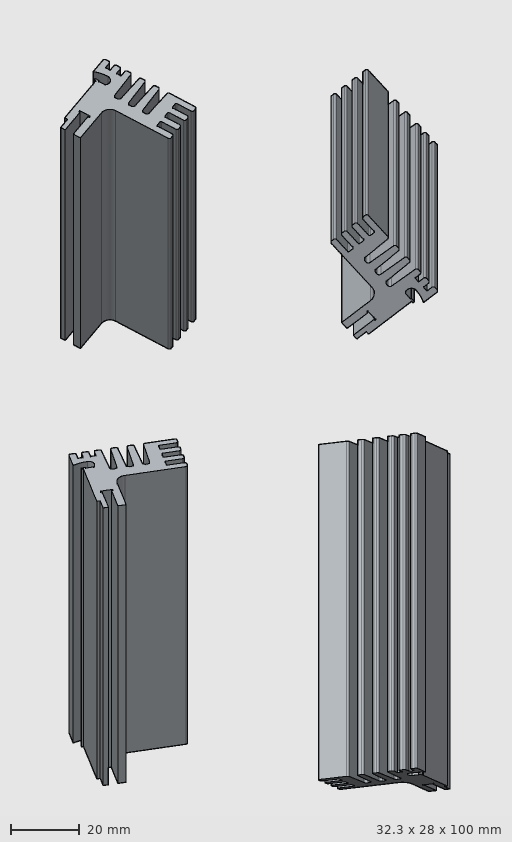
import cadquery as cq

length = 100.0
width = 32.3
depth = 28.0

fin_thickness = 2.0
side_slot_count = 3
arm_depth = (2 * side_slot_count + 1) * fin_thickness
leg_left = 2.5
leg_right = 10.4
inner_corner_radius = 3.0

hook_tip_y = -5.7
groove_roof_x = 4.5
groove_roof_y = -4.8
groove_floor_x = 5.6
groove_floor_y = -7.8
lip_x = 1.9
lip_top_y = -7.5
lip_bottom_y = -8.1
lip_width = 1.3


def level_arc_radius(run, drop):
    """Radius of an arc that starts level and falls by drop over run."""
    return (run**2 + drop**2) / (2 * drop)


groove_roof_radius = level_arc_radius(groove_roof_x, groove_roof_y - hook_tip_y)
groove_back_radius = level_arc_radius(groove_floor_x - groove_roof_x, groove_roof_y - groove_floor_y)

foot_left = 3.5
foot_step_y = -24.4
foot_slot_left = 5.1
foot_slot_right = 7.9
foot_slot_top_y = -19.8
undercut_size = 0.4

small_slot_centers = (3.0, 6.8)
small_slot_width = 1.6
small_slot_depth = 2.5
tapered_slot_first_x = 11.1
tapered_slot_pitch = 4.9
tapered_slot_count = 3
tapered_slot_mouth = 2.8
tapered_slot_floor = 2.1
tapered_slot_depth = 10.1
tapered_slot_radius = 0.8
side_slot_floor_x = 26.4
fin_tip_radius = 0.6
slot_floor_radius = 0.3


def box(x_min, x_max, y_min, y_max):
    """Full-length block between the given profile limits."""
    return (
        cq.Workplane("XY")
        .moveTo((x_min + x_max) / 2, (y_min + y_max) / 2)
        .rect(x_max - x_min, y_max - y_min)
        .extrude(length)
    )


def make_body():
    """Solid profile with the hooked groove and stepped foot."""
    return (
        cq.Workplane("XY")
        .lineTo(width, 0)
        .lineTo(width, -arm_depth)
        .lineTo(leg_right + inner_corner_radius, -arm_depth)
        .radiusArc((leg_right, -arm_depth - inner_corner_radius), -inner_corner_radius)
        .lineTo(leg_right, -depth)
        .lineTo(foot_left, -depth)
        .lineTo(foot_left, foot_step_y)
        .lineTo(leg_left, foot_step_y)
        .lineTo(leg_left, lip_bottom_y)
        .lineTo(lip_x, lip_bottom_y)
        .lineTo(lip_x, lip_top_y)
        .lineTo(lip_x + lip_width, lip_top_y)
        .lineTo(lip_x + lip_width, groove_floor_y)
        .lineTo(groove_floor_x, groove_floor_y)
        .threePointArc(
            (groove_roof_x + groove_back_radius, groove_roof_y - groove_back_radius),
            (groove_roof_x, groove_roof_y),
        )
        .radiusArc((0, hook_tip_y), -groove_roof_radius)
        .close()
        .extrude(length)
    )


def tapered_slot(center_x):
    """Deep slot narrowing toward its rounded floor."""
    half_mouth = tapered_slot_mouth / 2
    half_floor = tapered_slot_floor / 2
    return (
        cq.Workplane("XY")
        .polyline([
            (center_x - half_mouth, 0),
            (center_x + half_mouth, 0),
            (center_x + half_floor, -tapered_slot_depth),
            (center_x - half_floor, -tapered_slot_depth),
        ])
        .close()
        .extrude(length)
        .edges("|Z and <Y")
        .fillet(tapered_slot_radius)
    )


def side_slot(index):
    """Slot between two neighbouring fins on the right end."""
    top_y = -(2 * index + 1) * fin_thickness
    slot = box(side_slot_floor_x, width, top_y - fin_thickness, top_y)
    return slot.edges("|Z and <X").fillet(slot_floor_radius)


result = make_body()
for slot_x in small_slot_centers:
    result = result.cut(
        box(slot_x - small_slot_width / 2, slot_x + small_slot_width / 2, -small_slot_depth, 0)
    )
for slot_index in range(tapered_slot_count):
    result = result.cut(tapered_slot(tapered_slot_first_x + slot_index * tapered_slot_pitch))
for slot_index in range(side_slot_count):
    result = result.cut(side_slot(slot_index))

result = result.cut(box(foot_slot_left, foot_slot_right, -depth, foot_slot_top_y))
result = result.cut(
    box(
        foot_slot_left - undercut_size,
        foot_slot_right + undercut_size,
        foot_slot_top_y - undercut_size,
        foot_slot_top_y,
    )
)

result = result.edges("|Z and >Y").fillet(fin_tip_radius)
tip_line = cq.selectors.BoxSelector(
    (width - fin_tip_radius / 2, -arm_depth - fin_tip_radius, 0),
    (width + fin_tip_radius, -fin_thickness / 2, length),
)
result = result.edges("|Z").edges(tip_line).fillet(fin_tip_radius)